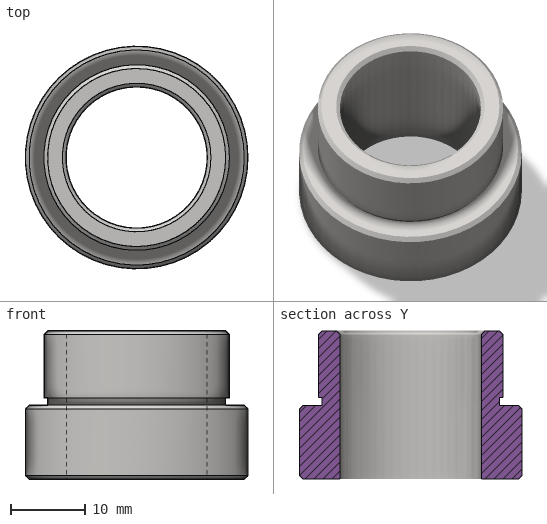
import cadquery as cq

flange_diameter = 30.0
flange_height = 10.0
total_height = 20.0
collar_diameter = 25.0
bore_diameter = 19.0
edge_chamfer = 0.5

groove_diameter = 24.0
groove_width = 1.0

flange = (
    cq.Workplane("XY")
    .circle(flange_diameter / 2)
    .extrude(flange_height)
    .edges()
    .chamfer(edge_chamfer)
)

neck = (
    cq.Workplane("XY")
    .workplane(offset=flange_height)
    .circle(groove_diameter / 2)
    .extrude(groove_width)
)

collar_base = flange_height + groove_width
collar = (
    cq.Workplane("XY")
    .workplane(offset=collar_base)
    .circle(collar_diameter / 2)
    .extrude(total_height - collar_base)
    .faces(">Z")
    .edges()
    .chamfer(edge_chamfer)
)

body = flange.union(neck).union(collar)
bore = cq.Workplane("XY").circle(bore_diameter / 2).extrude(total_height)
result = (
    body.cut(bore)
    .faces(">Z")
    .edges(cq.selectors.RadiusNthSelector(0))
    .chamfer(edge_chamfer)
)